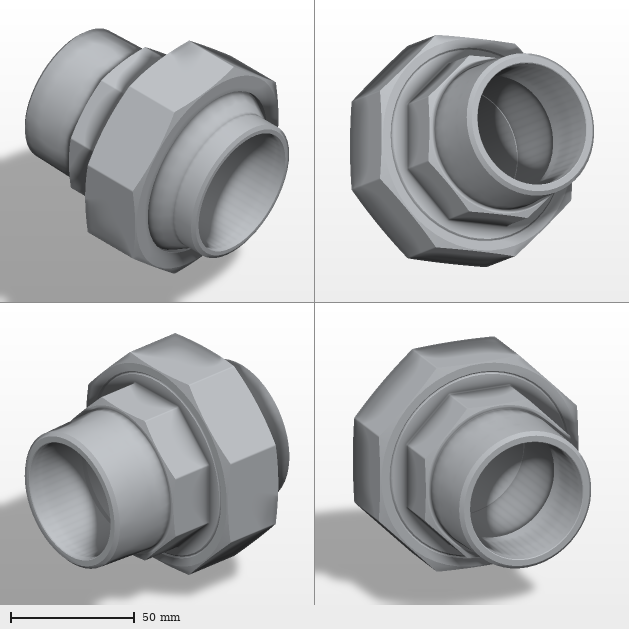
import cadquery as cq
import math


overall_length = 92.5
octagon_edge_radius = 1.0
octagon_chamfer_angle = 21.0
union_thread_diameter = 78.75
select_margin = 0.01
collar_diameter = 77.5

nut_start = 46.5
nut_length = 27.3
nut_across_flats = 88.0
nut_face_diameter = 87.0
nut_mouth_diameter = 80.0
nut_lip_diameter = 73.0
nut_lip_thickness = 4.0
nut_end = nut_start + nut_length
nut_shoulder = nut_end - nut_lip_thickness

taper_length = 27.5
taper_end_diameter = 60.3
taper_ratio = 1 / 16
taper_start_diameter = taper_end_diameter - taper_ratio * taper_length
thread_chamfer = 1.5
taper_root_fillet = 0.35
inlet_bore_diameter = 50.0
bore_mouth_chamfer = 0.3
chamber_diameter = 54.0
chamber_cone_start = 28.3
chamber_cone_angle = 30.0
octagon_across_flats = 64.6
octagon_face_diameter = 63.6
flange_face = 46.5
octagon_root_fillet = 0.6
flange_end = 60.0

gasket_thickness = 2.0
gasket_end = flange_end + gasket_thickness

neck_diameter = 72.5
pipe_diameter = 60.3
pipe_start = 82.0
neck_cone_angle = 30.0
bevel_length = 1.0
bevel_angle = 60.0
pipe_bore_diameter = 53.3


def cylinder(start, end, diameter):
    return cq.Workplane("YZ", origin=(start, 0, 0)).circle(diameter / 2).extrude(end - start)


def revolve_about_x(points):
    return cq.Workplane("XY").polyline(points).close().revolve(360, (0, 0, 0), (1, 0, 0))


def octagon_prism(start, end, across_flats):
    corner_diameter = across_flats / math.cos(math.pi / 8)
    prism = (
        cq.Workplane("YZ", origin=(start, 0, 0))
        .polygon(8, corner_diameter)
        .extrude(end - start)
        .rotate((0, 0, 0), (1, 0, 0), 180 / 8)
    )
    return prism.edges("|X").fillet(octagon_edge_radius)


def corner_chamfer_cone(face, inward, face_diameter, length):
    """Solid of the given length whose cone, starting at the face, trims octagon corners."""
    face_radius = face_diameter / 2
    cone_radius = face_radius + length / math.tan(math.radians(octagon_chamfer_angle))
    return revolve_about_x([
        (face, 0),
        (face, face_radius),
        (face + inward * length, cone_radius),
        (face + inward * length, 0),
    ])


def make_union_nut():
    nut = octagon_prism(nut_start, nut_end, nut_across_flats)
    nut = nut.intersect(corner_chamfer_cone(nut_start, 1, nut_face_diameter, nut_length))
    nut = nut.intersect(corner_chamfer_cone(nut_end, -1, nut_face_diameter, nut_length))
    nut = nut.cut(cylinder(nut_start, nut_shoulder, union_thread_diameter))
    nut = nut.cut(cylinder(nut_shoulder, nut_end, nut_lip_diameter))
    mouth_depth = (nut_mouth_diameter - union_thread_diameter) / 2
    mouth = revolve_about_x([
        (nut_start, 0),
        (nut_start, nut_mouth_diameter / 2),
        (nut_start + mouth_depth, union_thread_diameter / 2),
        (nut_start + mouth_depth, 0),
    ])
    return nut.cut(mouth)


def make_octagon_with_flange():
    octagon = octagon_prism(taper_length, flange_face, octagon_across_flats)
    octagon = octagon.intersect(
        corner_chamfer_cone(taper_length, 1, octagon_face_diameter, flange_face - taper_length)
    )
    rim_chamfer = (union_thread_diameter - collar_diameter) / 2
    flange = cylinder(flange_face, flange_end, union_thread_diameter).faces("<X").chamfer(rim_chamfer)
    body = octagon.union(flange)
    root_reach = octagon_across_flats / 2 / math.cos(math.pi / 8)
    root_outline = cq.selectors.BoxSelector(
        (flange_face - select_margin, -root_reach, -root_reach),
        (flange_face + select_margin, root_reach, root_reach),
        boundingbox=True,
    )
    return body.edges(root_outline).fillet(octagon_root_fillet)


def make_taper():
    """Taper thread blank with its lead chamfer and the concave fillet onto the octagon face."""
    start_radius = taper_start_diameter / 2
    end_radius = taper_end_diameter / 2
    fillet_start = taper_length - taper_root_fillet
    return (
        cq.Workplane("XY")
        .moveTo(0, 0)
        .lineTo(0, start_radius - thread_chamfer)
        .lineTo(thread_chamfer, start_radius + taper_ratio / 2 * thread_chamfer)
        .lineTo(fillet_start, end_radius)
        .radiusArc((taper_length, end_radius + taper_root_fillet), -taper_root_fillet)
        .lineTo(taper_length, 0)
        .close()
        .revolve(360, (0, 0, 0), (1, 0, 0))
    )


def make_threaded_end_bore():
    bore_radius = inlet_bore_diameter / 2
    chamber_radius = chamber_diameter / 2
    cone_length = (chamber_radius - bore_radius) / math.tan(math.radians(chamber_cone_angle))
    return revolve_about_x([
        (0, 0),
        (0, bore_radius + bore_mouth_chamfer),
        (bore_mouth_chamfer, bore_radius),
        (chamber_cone_start, bore_radius),
        (chamber_cone_start + cone_length, chamber_radius),
        (flange_end, chamber_radius),
        (flange_end, 0),
    ])


def make_threaded_end():
    return make_octagon_with_flange().union(make_taper()).cut(make_threaded_end_bore())


def make_gasket():
    gasket = cylinder(flange_end, gasket_end, collar_diameter)
    return gasket.cut(cylinder(flange_end, gasket_end, chamber_diameter))


def make_welding_end():
    pipe_radius = pipe_diameter / 2
    neck_radius = neck_diameter / 2
    cone_length = (neck_radius - pipe_radius) / math.tan(math.radians(neck_cone_angle))
    bevel_height = bevel_length * math.tan(math.radians(bevel_angle))
    body = revolve_about_x([
        (gasket_end, 0),
        (gasket_end, collar_diameter / 2),
        (nut_shoulder, collar_diameter / 2),
        (nut_shoulder, neck_radius),
        (pipe_start - cone_length, neck_radius),
        (pipe_start, pipe_radius),
        (overall_length - bevel_length, pipe_radius),
        (overall_length, pipe_radius - bevel_height),
        (overall_length, 0),
    ])
    return body.cut(cylinder(gasket_end, overall_length, pipe_bore_diameter))


union_nut = make_union_nut()
threaded_end = make_threaded_end()
gasket = make_gasket()
welding_end = make_welding_end()

result = cq.Compound.makeCompound([
    union_nut.val(),
    threaded_end.val(),
    gasket.val(),
    welding_end.val(),
])